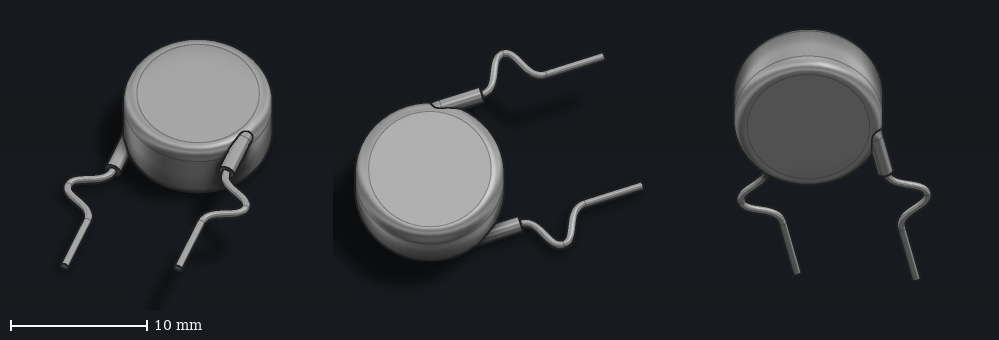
import cadquery as cq
import math

disc_diameter = 11.0
disc_height = 5.5
disc_edge_radius = 1.0

lead_spacing = 9.0
sleeve_radius = 0.605
sleeve_bend_y = -2.35
sleeve_bend_radius = 1.05

wire_radius = 0.32
overall_width = 14.69
kink_length = 5.0
tail_length = 4.5
end_reach = 1.55
peak_reach = 1.15

disc_radius = disc_diameter / 2
lead_x = lead_spacing / 2
sleeve_end_y = -disc_radius
kink_peak_x = overall_width / 2 - wire_radius
kink_peak_y = sleeve_end_y - kink_length / 2
kink_end_y = sleeve_end_y - kink_length
tail_end_y = kink_end_y - tail_length

leads = [(-1, sleeve_radius), (1, disc_height - sleeve_radius)]


def make_sleeve(side, axis_z):
    """Round sleeve that runs straight along Y, then bends a quarter turn into the disc."""
    inward = math.copysign(1, disc_height / 2 - axis_z)
    bend_end = (sleeve_bend_y + sleeve_bend_radius, axis_z + inward * sleeve_bend_radius)
    path = (
        cq.Workplane("YZ", origin=(side * lead_x, 0, 0))
        .moveTo(sleeve_end_y, axis_z)
        .lineTo(sleeve_bend_y, axis_z)
        .tangentArcPoint(bend_end, relative=False)
    )
    section = cq.Workplane("XZ", origin=(side * lead_x, sleeve_end_y, axis_z)).circle(sleeve_radius)
    return section.sweep(path)


def make_housing():
    """Disc with rounded rims, merged with the two lead sleeves."""
    housing = cq.Workplane("XY").circle(disc_radius).extrude(disc_height)
    housing = housing.edges("%CIRCLE").fillet(disc_edge_radius)
    for side, axis_z in leads:
        housing = housing.union(make_sleeve(side, axis_z))
    return housing


def make_lead(side, axis_z):
    """Round wire that starts on the sleeve end, bulges outwards and ends in a straight tail."""
    path = (
        cq.Workplane("XY", origin=(0, 0, axis_z))
        .moveTo(side * lead_x, sleeve_end_y)
        .bezier(
            [
                (side * lead_x, sleeve_end_y - end_reach),
                (side * kink_peak_x, kink_peak_y + peak_reach),
                (side * kink_peak_x, kink_peak_y),
            ],
            includeCurrent=True,
        )
        .bezier(
            [
                (side * kink_peak_x, kink_peak_y - peak_reach),
                (side * lead_x, kink_end_y + end_reach),
                (side * lead_x, kink_end_y),
            ],
            includeCurrent=True,
        )
        .lineTo(side * lead_x, tail_end_y)
    )
    wire_section = cq.Workplane("XZ", origin=(side * lead_x, sleeve_end_y, axis_z)).circle(wire_radius)
    return wire_section.sweep(path)


housing = make_housing()
lead_wires = [make_lead(side, axis_z) for side, axis_z in leads]

result = cq.Compound.makeCompound([housing.val(), *[wire.val() for wire in lead_wires]])